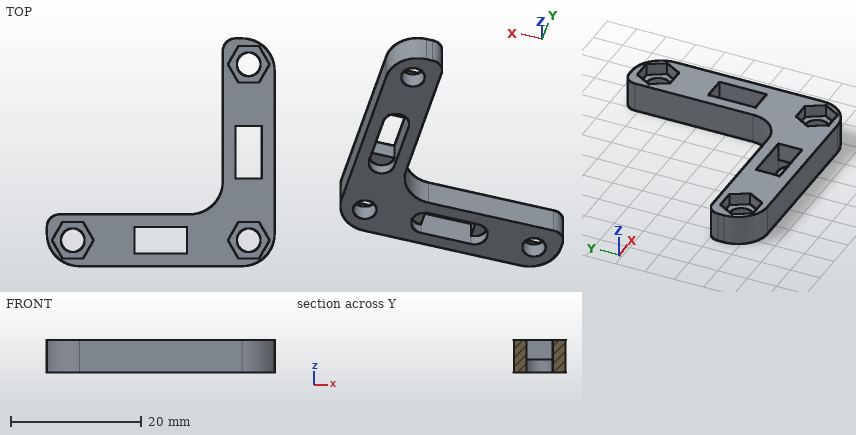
import cadquery as cq

leg_length = 35.0
leg_width = 8.0
thickness = 5.0
large_radius = 5.0
small_radius = 2.0
screw_diameter = 3.6
nut_across_corners = 6.4
nut_depth = 2.0
slot_length = 8.0
slot_width = 4.0
recess_depth = 2.0

leg_middle = leg_width / 2
half_length = leg_length / 2
recess_length = slot_length + slot_width
inner_x = leg_length - leg_width
spine_x = leg_length - leg_middle
leg_end = leg_length - leg_middle
screw_points = [
    (leg_middle, leg_middle),
    (spine_x, leg_middle),
    (spine_x, leg_end),
]


def make_bracket():
    """L-shaped plate with rounded vertical edges."""
    outline = [
        (0, 0),
        (leg_length, 0),
        (leg_length, leg_length),
        (inner_x, leg_length),
        (inner_x, leg_width),
        (0, leg_width),
    ]
    small_corners = [(inner_x, leg_length), (0, leg_width)]
    large_corners = [corner for corner in outline if corner not in small_corners]
    plate = cq.Workplane("XY").polyline(outline).close().extrude(thickness)
    plate = round_corners(plate, large_corners, large_radius)
    return round_corners(plate, small_corners, small_radius)


def round_corners(plate, corners, radius):
    """Fillet the vertical edges standing on the given outline corners."""
    for x, y in corners:
        edge_middle = (x, y, thickness / 2)
        plate = plate.edges(cq.selectors.NearestToPointSelector(edge_middle)).fillet(radius)
    return plate


def make_screw_holes():
    """Through holes, each with a hexagonal nut pocket sunk from the top."""
    holes = cq.Workplane("XY").pushPoints(screw_points).circle(screw_diameter / 2).extrude(thickness)
    pockets = (
        cq.Workplane("XY", origin=(0, 0, thickness - nut_depth))
        .pushPoints(screw_points)
        .polygon(6, nut_across_corners)
        .extrude(nut_depth)
    )
    return holes.union(pockets)


def make_slot():
    """Through slot along X, with a longer round-ended recess in the bottom, centred on the origin."""
    opening = cq.Workplane("XY").rect(slot_length, slot_width).extrude(thickness)
    recess = cq.Workplane("XY").slot2D(recess_length, slot_width).extrude(recess_depth)
    return opening.union(recess)


def make_slots():
    """One slot halfway along each leg, running with the leg."""
    slot = make_slot()
    slot_along_x = slot.translate((half_length, leg_middle, 0))
    slot_along_y = slot.rotate((0, 0, 0), (0, 0, 1), 90).translate((spine_x, half_length, 0))
    return slot_along_x.union(slot_along_y)


result = make_bracket().cut(make_screw_holes()).cut(make_slots())